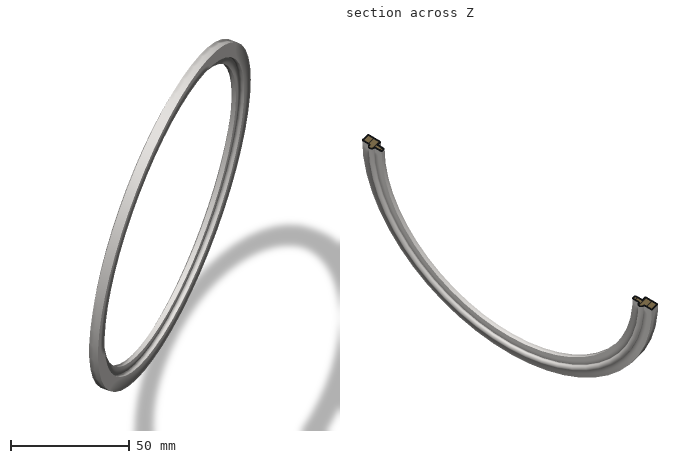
import cadquery as cq

outer_diameter = 157.0
ring_width = 10.5
overall_thickness = 5.8
bead_width = 2.7
bead_wall = 0.3
bead_inset = 4.1
lip_thickness = 2.0

outer_radius = outer_diameter / 2
bore_radius = outer_radius - ring_width
bead_outer_radius = outer_radius - bead_inset
bead_inner_radius = bead_outer_radius - bead_width
bead_middle_radius = bead_outer_radius - bead_width / 2
lip_outer_radius = bead_inner_radius
back_x = overall_thickness / 2
bead_tip_x = -overall_thickness / 2
bead_shoulder_x = bead_tip_x + bead_width / 2
seat_x = bead_shoulder_x + bead_wall
lip_back_x = seat_x + lip_thickness

section = (
    cq.Workplane("XY")
    .moveTo(lip_back_x, bore_radius)
    .lineTo(lip_back_x, lip_outer_radius)
    .lineTo(back_x, lip_outer_radius)
    .lineTo(back_x, outer_radius)
    .lineTo(seat_x, outer_radius)
    .lineTo(seat_x, bead_outer_radius)
    .lineTo(bead_shoulder_x, bead_outer_radius)
    .threePointArc((bead_tip_x, bead_middle_radius), (bead_shoulder_x, bead_inner_radius))
    .lineTo(seat_x, bead_inner_radius)
    .lineTo(seat_x, bore_radius)
    .close()
)

result = section.revolve(360, (0, 0, 0), (1, 0, 0))